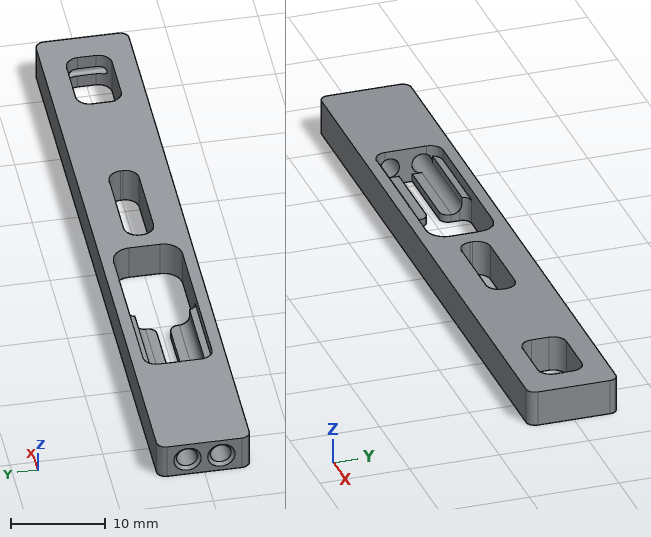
import cadquery as cq

length = 70.0
width = 10.0
height = 4.0
corner_radius = 1.0

rod_radius = 1.1
rod_offset = 1.8
rod_chamfer = 0.35

pocket_start = 14.0
pocket_end = 33.95
pocket_width = 7.4
pocket_near_radius = 1.4
pocket_far_radius = 2.0
ledge_end = 23.95
ledge_blend_radius = 1.0
ledge_tip_radius = 1.0
ledge_top = 0.8
ledge_gap = 1.5

slot_start = 35.9
slot_end = 47.0
slot_width = 3.2
slot_radius = 1.5

window_start = 58.7
window_end = 66.7
window_width = 4.9
window_radius = 1.5
wall_groove_radius = 0.5


def box_between(x_start, x_end, y_size, z_bottom=-height / 2, z_top=height / 2):
    """Box centred on Y, spanning the given X and Z ranges."""
    return (
        cq.Workplane("XY", origin=((x_start + x_end) / 2, 0, z_bottom))
        .rect(x_end - x_start, y_size)
        .extrude(z_top - z_bottom)
    )


def make_bar():
    return box_between(0, length, width).edges("|Z").fillet(corner_radius)


def make_pocket():
    pocket = box_between(pocket_start, pocket_end, pocket_width)
    pocket = pocket.edges("|Z and <X").fillet(pocket_near_radius)
    return pocket.edges("|Z and >X").fillet(pocket_far_radius)


def make_ledge():
    """Two ledges with a stepped rod groove and a gap between them."""
    ledge = box_between(pocket_start, ledge_end, pocket_width, z_top=ledge_top)
    for side in (-1, 1):
        wall_y = side * pocket_width / 2
        blend = (
            cq.Workplane("XY", origin=(0, 0, -height / 2))
            .moveTo(ledge_end, wall_y)
            .lineTo(ledge_end + ledge_blend_radius, wall_y)
            .radiusArc((ledge_end, wall_y - side * ledge_blend_radius), -side * ledge_blend_radius)
            .close()
            .extrude(ledge_top + height / 2)
        )
        ledge = ledge.union(blend)
    gap = box_between(pocket_start, ledge_end, ledge_gap)
    ledge = ledge.cut(gap)
    tip_box = cq.selectors.BoxSelector(
        (ledge_end - ledge_tip_radius, -ledge_gap, -height),
        (ledge_end + ledge_tip_radius, ledge_gap, height),
    )
    ledge = ledge.edges("|Z").edges(tip_box).fillet(ledge_tip_radius)
    ledge = ledge.cut(box_between(pocket_start, length, 2 * rod_offset, z_bottom=-rod_radius))
    return ledge.cut(box_between(pocket_start, length, 2 * (rod_offset + rod_radius), z_bottom=0))


def make_rods(rod_length):
    return (
        cq.Workplane("YZ")
        .pushPoints([(-rod_offset, 0), (rod_offset, 0)])
        .circle(rod_radius)
        .extrude(rod_length)
    )


def make_rod_holes():
    """Rod holes running on as grooves along the ledge, countersunk at the bar end."""
    mouths = (
        cq.Workplane("YZ")
        .pushPoints([(-rod_offset, 0), (rod_offset, 0)])
        .circle(rod_radius + rod_chamfer)
        .extrude(rod_chamfer, taper=45)
    )
    return make_rods(ledge_end + ledge_blend_radius).union(mouths)


def make_middle_slot():
    return box_between(slot_start, slot_end, slot_width).edges("|Z").fillet(slot_radius)


def make_window():
    return box_between(window_start, window_end, window_width).edges("|Z").fillet(window_radius)


def make_wall_groove():
    """Half-round groove along Y, centred on the +X wall of the window."""
    return (
        cq.Workplane("XZ", origin=(window_end, window_width / 2, 0))
        .circle(wall_groove_radius)
        .extrude(window_width)
    )


result = (
    make_bar()
    .cut(make_pocket().cut(make_ledge()))
    .cut(make_rod_holes())
    .cut(make_middle_slot())
    .cut(make_window())
    .cut(make_wall_groove())
)